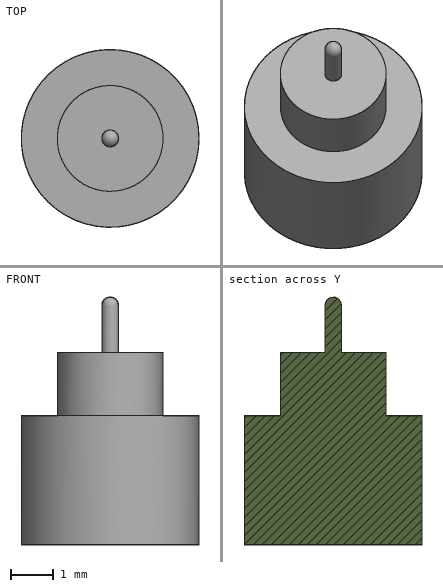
import cadquery as cq

total_height = 5.85
body_diameter = 4.2
body_height = 3.05
neck_diameter = 2.5
neck_height = 1.5
insulator_diameter = 1.95
pin_diameter = 0.4

shoulder_height = body_height + neck_height
pin_radius = pin_diameter / 2
pin_length = total_height - shoulder_height


def make_shell():
    """Body and neck, bored through the neck to seat the insulator."""
    body = cq.Workplane("XY").circle(body_diameter / 2).extrude(body_height)
    return (
        body.faces(">Z").workplane()
        .circle(neck_diameter / 2)
        .circle(insulator_diameter / 2)
        .extrude(neck_height)
    )


def make_insulator():
    """Disc filling the neck bore, flush with the neck's end face."""
    seat = cq.Workplane("XY").workplane(offset=body_height)
    return seat.circle(insulator_diameter / 2).extrude(neck_height)


def make_pin():
    """Centre pin with a hemispherical tip."""
    base = cq.Workplane("XY").workplane(offset=shoulder_height)
    pin = base.circle(pin_radius).extrude(pin_length - pin_radius)
    tip_center = (0, 0, total_height - pin_radius)
    return pin.union(cq.Workplane("XY").sphere(pin_radius).translate(tip_center))


result = make_shell().union(make_insulator(), clean=False).union(make_pin(), clean=False)